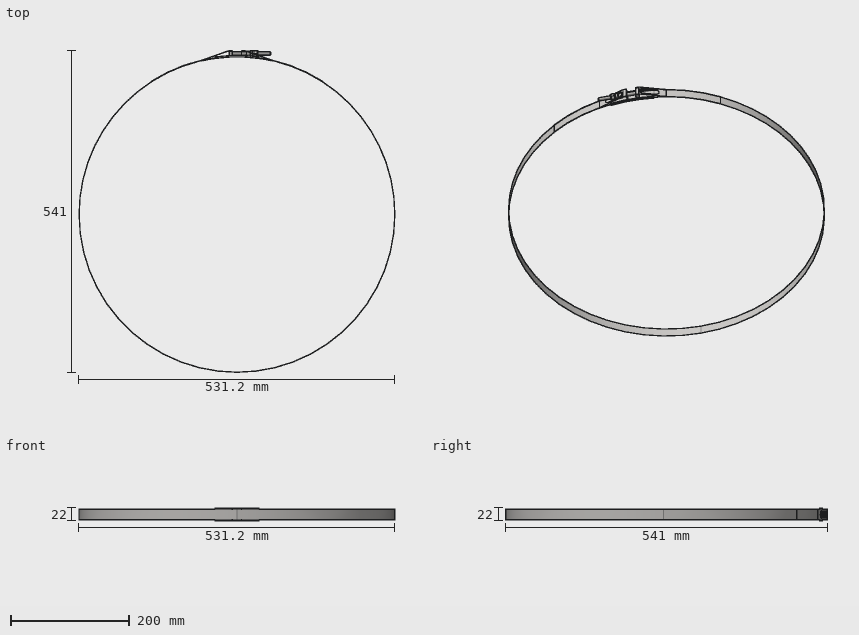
import cadquery as cq
import math

ring_radius = 265.61
strap_thickness = 0.5
strap_width = 18.0
fold_end_angle = 57.4
loop_crest_x = 13.8
loop_foot_x = 57.5
loop_top = 275.3
loop_face_x = 7.5
loop_corner_radius = 1.5

wall_hole_diameter = 7.0
slot_width = 12.0
slot_start_x = 15.0
slot_end_x = 46.0

bridge_end_x = 37.0
tongue_end_x = loop_foot_x
bridge_width = 22.0
floor_thickness = 0.6
flange_height = 2.4

nut_sides = 6
nut_across_flats = 10.0
nut_top = 275.43
bolt_y = nut_top - nut_across_flats / 2
bolt_diameter = 6.0
bolt_tip_x = 57.0
tip_chamfer = 1.4
bar_length = 5.2
bar_height = 7.2
bar_width = 17.0
bar_corner_radius = 1.2

sleeve_diameter = 6.6
sleeve_end_x = 26.5
collar_diameter = 9.0
collar_start_x = 16.0
collar_end_x = 22.0
flange_diameter = 9.8
flange_start_x = 22.8
washer_thickness = 2.2
washer_diameter = 9.8
nut_thickness = 5.0
nut_collar_diameter = 9.8
nut_collar_length = 1.8

fold_radius = ring_radius + strap_thickness
floor_radius = ring_radius - strap_thickness
inside_radius = floor_radius - floor_thickness
loop_inside_x = loop_face_x + strap_thickness


def circle_y(radius, x):
    """Height on a circle about the origin, at a given X."""
    return math.sqrt(radius**2 - x**2)


def on_circle(radius, degrees):
    """Point on a circle about the origin."""
    angle = math.radians(degrees)
    return radius * math.cos(angle), radius * math.sin(angle)


def arc_to(radius, x):
    """Angle at which a circle about the origin reaches a given X."""
    return math.degrees(math.acos(x / radius))


def arc_strip(inner, outer, start, end, width=strap_width):
    """Strip that follows the ring between two angles, centred on Z = 0."""
    middle = (start + end) / 2
    return (
        cq.Workplane("XY")
        .moveTo(*on_circle(outer, start))
        .threePointArc(on_circle(outer, middle), on_circle(outer, end))
        .lineTo(*on_circle(inner, end))
        .threePointArc(on_circle(inner, middle), on_circle(inner, start))
        .close()
        .extrude(width / 2, both=True)
    )


def make_loop(fold_foot_angle):
    """Wall, crest and sloping leg on the +X side."""
    foot_x, foot_y = on_circle(fold_radius, fold_foot_angle)
    leg_slope = math.atan2(loop_top - foot_y, foot_x - loop_crest_x)
    crest_inside_x = loop_crest_x - strap_thickness * math.tan(leg_slope / 2)
    wall_bottom = circle_y(ring_radius, loop_inside_x)
    crest_inside = loop_top - strap_thickness
    loop = (
        cq.Workplane("XY")
        .moveTo(loop_face_x, wall_bottom)
        .lineTo(loop_face_x, loop_top)
        .lineTo(loop_crest_x, loop_top)
        .lineTo(foot_x, foot_y)
        .lineTo(*on_circle(ring_radius, fold_foot_angle))
        .lineTo(crest_inside_x, crest_inside)
        .lineTo(loop_inside_x, crest_inside)
        .lineTo(loop_inside_x, wall_bottom)
        .close()
        .extrude(strap_width / 2, both=True)
    )
    outside_corner = cq.selectors.NearestToPointSelector((loop_face_x, loop_top, 0))
    inside_corner = cq.selectors.NearestToPointSelector((loop_inside_x, crest_inside, 0))
    loop = loop.edges("|Z").edges(outside_corner).fillet(loop_corner_radius)
    loop = loop.edges("|Z").edges(inside_corner).fillet(loop_corner_radius - strap_thickness)
    wall_hole = (
        cq.Workplane("YZ", origin=(loop_face_x, bolt_y, 0))
        .circle(wall_hole_diameter / 2)
        .extrude(strap_thickness)
    )
    slot = (
        cq.Workplane("XZ", origin=((slot_start_x + slot_end_x) / 2, loop_top, 0))
        .slot2D(slot_end_x - slot_start_x, slot_width)
        .extrude(loop_top - foot_y)
    )
    return loop.cut(wall_hole).cut(slot)


def make_strap():
    fold_foot_angle = arc_to(fold_radius, loop_foot_x)
    wall_angle = arc_to(floor_radius, loop_face_x)
    half = make_loop(fold_foot_angle)
    for start, end in [(-90, 0), (0, fold_end_angle), (fold_end_angle, wall_angle)]:
        half = half.union(arc_strip(floor_radius, ring_radius, start, end), clean=False)
    fold = arc_strip(ring_radius, fold_radius, fold_end_angle, fold_foot_angle)
    half = half.union(fold, clean=False)
    return half.union(half.mirror("YZ"), clean=False)


def bridge_strip(inner, outer, end_x, width):
    """Curved piece of the bridge, symmetric about X = 0."""
    end_angle = arc_to(floor_radius, end_x)
    return arc_strip(inner, outer, end_angle, 180 - end_angle, width)


def make_bridge():
    flange_radius = floor_radius + flange_height
    channel = bridge_strip(inside_radius, flange_radius, bridge_end_x, bridge_width)
    room = bridge_strip(floor_radius, flange_radius, bridge_end_x, strap_width)
    tongues = bridge_strip(inside_radius, floor_radius, tongue_end_x, strap_width)
    return channel.cut(room).union(tongues, clean=False)


def rod(diameter, start_x, end_x):
    """Cylinder on the bolt line."""
    return cq.Workplane("YZ", origin=(start_x, bolt_y, 0)).circle(diameter / 2).extrude(end_x - start_x)


def make_bolt():
    bar = (
        cq.Workplane("XY", origin=(-loop_inside_x - bar_length / 2, bolt_y, 0))
        .box(bar_length, bar_height, bar_width)
        .edges("|Z and >X")
        .fillet(bar_corner_radius)
    )
    shank = rod(bolt_diameter, -loop_inside_x, bolt_tip_x).faces(">X").chamfer(tip_chamfer)
    return bar.union(shank)


def bored(body):
    return body.cut(rod(bolt_diameter, 0, bolt_tip_x))


def make_sleeve():
    tube = rod(sleeve_diameter, loop_inside_x, sleeve_end_x)
    collar = rod(collar_diameter, collar_start_x, collar_end_x)
    flange = rod(flange_diameter, flange_start_x, sleeve_end_x)
    return bored(tube.union(collar).union(flange))


def make_washer():
    return bored(rod(washer_diameter, sleeve_end_x, sleeve_end_x + washer_thickness))


def make_nut():
    across_corners = nut_across_flats / math.cos(math.pi / nut_sides)
    start_x = sleeve_end_x + washer_thickness
    collar_x = start_x + nut_thickness
    hexagon = (
        cq.Workplane("YZ", origin=(start_x, bolt_y, 0))
        .transformed(rotate=(0, 0, 180 / nut_sides))
        .polygon(nut_sides, across_corners)
        .extrude(nut_thickness)
    )
    collar = rod(nut_collar_diameter, collar_x, collar_x + nut_collar_length)
    return bored(hexagon.union(collar))


strap = make_strap()
bridge = make_bridge()
bolt = make_bolt()
sleeve = make_sleeve()
washer = make_washer()
nut = make_nut()
parts = [strap, bridge, bolt, sleeve, washer, nut]
result = cq.Compound.makeCompound([body.val() for body in parts])